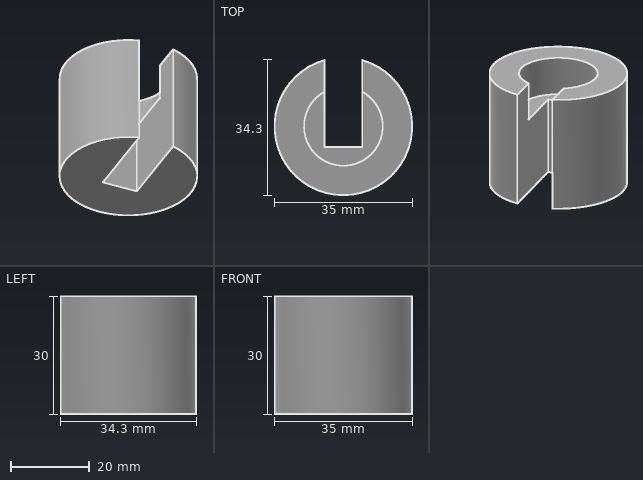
import cadquery as cq

outer_diameter = 35.0
height = 30.0
bore_diameter = 20.0
bore_depth = 10.0
slot_width = 9.5
slot_floor_y = -5.2

outer_radius = outer_diameter / 2


def make_body():
    """Plain cylinder standing on the XY plane."""
    return cq.Workplane("XY").circle(outer_radius).extrude(height)


def make_bore():
    """Blind flat-bottomed bore sunk from the top face."""
    bore_floor = cq.Workplane("XY").workplane(offset=height - bore_depth)
    return bore_floor.circle(bore_diameter / 2).extrude(bore_depth)


def make_slot():
    """Full-height slot that runs from its flat end out through the +Y side."""
    slot_length = outer_radius - slot_floor_y
    return (
        cq.Workplane("XY")
        .center(0, slot_floor_y + slot_length / 2)
        .rect(slot_width, slot_length)
        .extrude(height)
    )


result = make_body().cut(make_bore()).cut(make_slot())